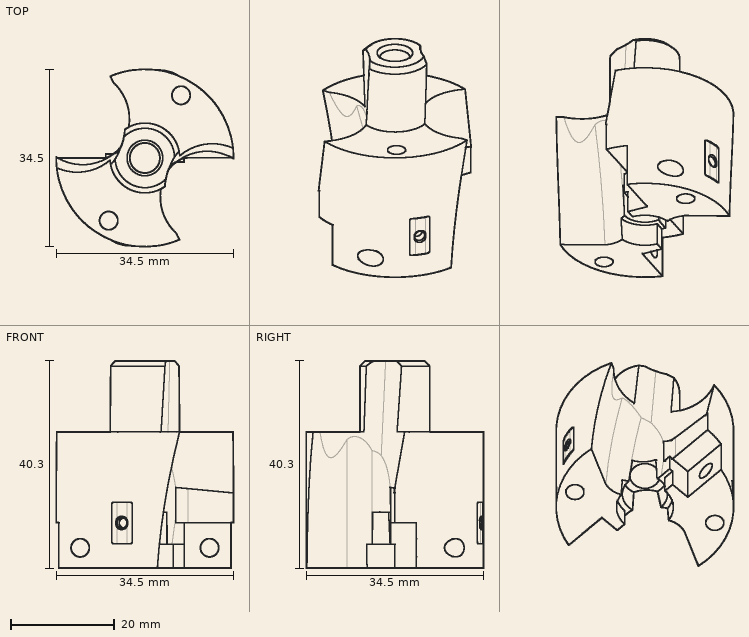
import cadquery as cq
import math

TOTAL_HEIGHT = 40.25
BODY_HEIGHT = 26.45
BODY_RADIUS = 34.5 / 2
SHANK_RADIUS = 13.55 / 2
SHANK_CHAMFER = 1.0
CLEAR = 24.15

BORE_RADIUS = 2.9
BORE_CHAMFER = 0.55
BORE_CHAMFER_DEPTH = 0.93
MIDDLE_BORE_RADIUS = 4.4
MIDDLE_BORE_TOP = 10.87
LOWER_BORE_RADIUS = 5.5
LOWER_BORE_TOP = 4.6

HELIX_LEAD = 615.98
HELIX_RATE = 360 / HELIX_LEAD
HELIX_START = 12.08
HELIX_TRAILING_END = (-8.85, 16.4)
HELIX_TRAILING_MIDDLE = (-3.0, 7.55)
HELIX_CREST = (-4.45, 2.5)
HELIX_LEADING_MIDDLE = (-9.75, -2.17)
HELIX_LEADING_END = (-17.7, -1.6)

LEAN_STATIONS = ((0, 0), (15.15, 2.05), (BODY_HEIGHT, 4.9))
TRAILING_TANGENT = (1.45, 9.35)
TRAILING_SLOPE = 0.5
ROOT_ARC_MIDDLE = (1.7, 7.45)
FLUTE_ROOT = (0.5, 4.5)
FLOOR_ARC_MIDDLE = (-1.3, 2.17)
FLOOR_END_X = -4.8

SEAT_LEDGE_INNER_X = 6.05
SEAT_LEDGE_INNER_Z = 15.65
SEAT_LEDGE_SLOPE = 0.095
SEAT_FILLET_X = 8.3
LIP = 0.8
POCKET_TOP = 8.85
POCKET_WALL_X = 7.6
POCKET_DEPTH = 4.2

HOLE_RADIUS = 3.5 / 2
CROSS_HOLE_X = 12.55
CROSS_HOLE_Z = 3.95
COOLANT_HOLE_OFFSET = 14.05
COOLANT_HOLE_ANGLE = 60.0

PAD_ANGLE = 15.0
PAD_WIDTH = 4.1
PAD_STRIP_WIDTH = 2.0
PAD_HEIGHT = 8.1
PAD_CENTER_Z = 8.78
PAD_FACE = 17.45
PAD_EDGE_DROP = 0.3
PAD_ROOT = 16.1
PAD_CORNER = 0.4
PAD_HOLE_RADIUS = 1.0
PAD_HOLE_DEPTH = 2.0
PAD_HOLE_CHAMFER = 0.3


def both_sides(shape):
    """Return the shape together with its half-turn copy about Z."""
    return shape, shape.rotate((0, 0, 0), (0, 0, 1), 180)


def blank():
    shank = cq.Workplane("XY").circle(SHANK_RADIUS).extrude(TOTAL_HEIGHT)
    shank = shank.faces(">Z").chamfer(SHANK_CHAMFER)
    return cq.Workplane("XY").circle(BODY_RADIUS).extrude(BODY_HEIGHT).union(shank)


def stepped_bore():
    mouth_radius = BORE_RADIUS + BORE_CHAMFER
    return (
        cq.Workplane("XZ")
        .polyline([
            (0, 0),
            (LOWER_BORE_RADIUS, 0),
            (LOWER_BORE_RADIUS, LOWER_BORE_TOP),
            (MIDDLE_BORE_RADIUS, LOWER_BORE_TOP),
            (MIDDLE_BORE_RADIUS, MIDDLE_BORE_TOP),
            (BORE_RADIUS, MIDDLE_BORE_TOP),
            (BORE_RADIUS, TOTAL_HEIGHT - BORE_CHAMFER_DEPTH),
            (mouth_radius, TOTAL_HEIGHT),
            (0, TOTAL_HEIGHT),
        ])
        .close()
        .revolve(360, (0, 0), (0, 1))
    )


def ledge_z(x):
    """Height of the sloping ledge above the seat at a distance x from the axis."""
    return SEAT_LEDGE_INNER_Z - SEAT_LEDGE_SLOPE * (x - SEAT_LEDGE_INNER_X)


def below_ledge():
    """Everything on the -X side that lies under the sloping seat ledge."""
    return (
        cq.Workplane("XZ")
        .polyline([(0, 0), (0, ledge_z(0)), (-CLEAR, ledge_z(CLEAR)), (-CLEAR, 0)])
        .close()
        .extrude(CLEAR, both=True)
    )


def helical_flute():
    height = TOTAL_HEIGHT - HELIX_START
    start_angle = HELIX_RATE * (HELIX_START - BODY_HEIGHT)
    flute = (
        cq.Workplane("XY")
        .moveTo(*HELIX_TRAILING_END)
        .threePointArc(HELIX_TRAILING_MIDDLE, HELIX_CREST)
        .threePointArc(HELIX_LEADING_MIDDLE, HELIX_LEADING_END)
        .lineTo(-CLEAR, HELIX_LEADING_END[1])
        .lineTo(-CLEAR, HELIX_TRAILING_END[1])
        .close()
        .twistExtrude(height, HELIX_RATE * height)
        .rotate((0, 0, 0), (0, 0, 1), start_angle)
        .translate((0, 0, HELIX_START))
    )
    return flute.cut(below_ledge())


def leaning_outline(height, lean):
    """Flute outline at a given height, moved towards -X by the lean."""
    outer_y = CLEAR
    outer_x = TRAILING_TANGENT[0] - TRAILING_SLOPE * (outer_y - TRAILING_TANGENT[1])
    return (
        cq.Workplane("XY", origin=(-lean, 0, height))
        .moveTo(outer_x, outer_y)
        .lineTo(*TRAILING_TANGENT)
        .threePointArc(ROOT_ARC_MIDDLE, FLUTE_ROOT)
        .threePointArc(FLOOR_ARC_MIDDLE, (FLOOR_END_X, LIP))
        .lineTo(-CLEAR, LIP)
        .lineTo(-CLEAR, outer_y)
        .close()
        .wires()
        .val()
    )


def leaning_flute():
    outlines = [leaning_outline(height, lean) for height, lean in LEAN_STATIONS]
    return cq.Workplane(cq.Solid.makeLoft(outlines))


def seat():
    """Flat seat on the Y=0 plane, blended into the core, with a pocket below it."""
    run = SEAT_FILLET_X - SEAT_LEDGE_INNER_X
    radius = (run**2 + LIP**2) / (2 * LIP)
    half_angle = math.asin(run / radius) / 2
    fillet_mid = (
        -SEAT_FILLET_X + radius * math.sin(half_angle),
        radius * (1 - math.cos(half_angle)),
    )
    flat = (
        cq.Workplane("XY")
        .moveTo(-CLEAR, 0)
        .lineTo(-SEAT_FILLET_X, 0)
        .threePointArc(fillet_mid, (-SEAT_LEDGE_INNER_X, LIP))
        .lineTo(-SEAT_LEDGE_INNER_X, CLEAR / 2)
        .lineTo(-CLEAR, CLEAR / 2)
        .close()
        .extrude(BODY_HEIGHT)
        .intersect(below_ledge())
        .cut(cq.Workplane("XY").box(2 * CLEAR, 2 * CLEAR, 2 * POCKET_TOP))
    )
    pocket = cq.Workplane("XY").box(
        CLEAR, LIP + POCKET_DEPTH, POCKET_TOP, centered=False
    ).translate((-POCKET_WALL_X - CLEAR, -POCKET_DEPTH, 0))
    core_relief = cq.Workplane("XY").box(
        POCKET_WALL_X - MIDDLE_BORE_RADIUS, LIP, LOWER_BORE_TOP, centered=False
    ).translate((-POCKET_WALL_X, 0, 0))
    return flat.union(pocket).union(core_relief)


def wing_holes():
    cross = (
        cq.Workplane("XZ", origin=(-CROSS_HOLE_X, 0, CROSS_HOLE_Z))
        .circle(HOLE_RADIUS)
        .extrude(CLEAR)
    )
    angle = math.radians(COOLANT_HOLE_ANGLE)
    coolant = (
        cq.Workplane("XY")
        .center(-COOLANT_HOLE_OFFSET * math.cos(angle), -COOLANT_HOLE_OFFSET * math.sin(angle))
        .circle(HOLE_RADIUS)
        .extrude(BODY_HEIGHT)
    )
    return cross.union(coolant)


def guide_pad():
    edge = PAD_WIDTH / 2
    strip = PAD_STRIP_WIDTH / 2
    strip_end_y = -math.sqrt(PAD_FACE**2 - strip**2)
    pad = (
        cq.Workplane("XY", origin=(0, 0, PAD_CENTER_Z - PAD_HEIGHT / 2))
        .moveTo(-edge, -PAD_ROOT)
        .lineTo(-edge, PAD_EDGE_DROP - PAD_FACE)
        .lineTo(-strip, strip_end_y)
        .threePointArc((0, -PAD_FACE), (strip, strip_end_y))
        .lineTo(edge, PAD_EDGE_DROP - PAD_FACE)
        .lineTo(edge, -PAD_ROOT)
        .close()
        .extrude(PAD_HEIGHT)
    )
    rounded_block = (
        cq.Workplane("XZ", origin=(0, 0, PAD_CENTER_Z))
        .rect(PAD_WIDTH, PAD_HEIGHT)
        .extrude(CLEAR)
        .edges("|Y")
        .fillet(PAD_CORNER)
    )
    return pad.intersect(rounded_block).rotate((0, 0, 0), (0, 0, 1), -PAD_ANGLE)


def pad_hole():
    mouth_radius = PAD_HOLE_RADIUS + PAD_HOLE_CHAMFER
    return (
        cq.Workplane("XY")
        .polyline([
            (0, -PAD_FACE),
            (mouth_radius, -PAD_FACE),
            (PAD_HOLE_RADIUS, PAD_HOLE_CHAMFER - PAD_FACE),
            (PAD_HOLE_RADIUS, PAD_HOLE_DEPTH - PAD_FACE),
            (0, PAD_HOLE_DEPTH - PAD_FACE),
        ])
        .close()
        .revolve(360, (0, 0), (0, 1))
        .translate((0, 0, PAD_CENTER_Z))
        .rotate((0, 0, 0), (0, 0, 1), -PAD_ANGLE)
    )


result = blank()
for pad in both_sides(guide_pad()):
    result = result.union(pad)
for feature in (leaning_flute(), helical_flute(), seat(), wing_holes(), pad_hole()):
    for cutter in both_sides(feature):
        result = result.cut(cutter)
result = result.cut(stepped_bore())